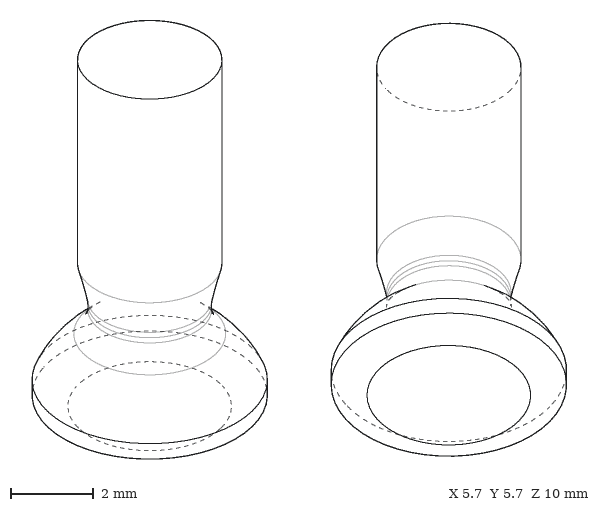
import cadquery as cq

total_height = 10.0
shank_radius = 1.75
shank_bottom_z = 4.12

neck_radius = 1.5
neck_bottom_z = 2.8
neck_top_z = 2.95
flare_bottom_z = 3.11
flare_bottom_radius = 1.51
flare_mid_radius = 1.61
flare_mid_z = 3.58

head_radius = 2.85
foot_radius = 1.98
foot_chamfer_height = 0.32
rim_top_z = 0.77
dome_top_radius = 1.84
dome_top_z = 2.1
dome_mid_radius = 2.43
dome_mid_z = 1.49
fillet_mid_radius = 1.59
fillet_mid_z = 2.41

profile = (
    cq.Workplane("XZ")
    .lineTo(foot_radius, 0)
    .lineTo(head_radius, foot_chamfer_height)
    .lineTo(head_radius, rim_top_z)
    .threePointArc((dome_mid_radius, dome_mid_z), (dome_top_radius, dome_top_z))
    .threePointArc((fillet_mid_radius, fillet_mid_z), (neck_radius, neck_bottom_z))
    .lineTo(neck_radius, neck_top_z)
    .tangentArcPoint((flare_bottom_radius, flare_bottom_z), relative=False)
    .threePointArc((flare_mid_radius, flare_mid_z), (shank_radius, shank_bottom_z))
    .lineTo(shank_radius, total_height)
    .lineTo(0, total_height)
    .close()
)

result = profile.revolve(360, (0, 0, 0), (0, 1, 0))